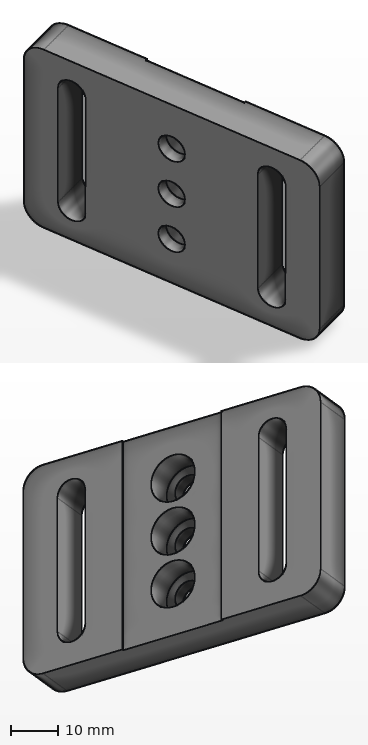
import cadquery as cq

LENGTH = 75.0
THICKNESS = 9.5
HEIGHT = 50.0
CORNER_RADIUS = 5.0

SLOT_WIDTH = 7.0
SLOT_LENGTH = 39.0
SLOT_OFFSET = 25.35

HOLE_DIAMETER = 6.75
HOLE_SPACING = 12.7

COUNTERBORE_DIAMETER = 11.0
FRONT_HOLE_DEPTH = 3.0

CHANNEL_WIDTH = 25.0
CHANNEL_DEPTH = 0.45


def make_plate():
    """Rounded plate centred on the origin."""
    return cq.Workplane("XY").box(LENGTH, THICKNESS, HEIGHT).edges("|Y").fillet(CORNER_RADIUS)


def cut_slots(plate):
    """Cut both slots through the thickness."""
    return (
        plate.faces("<Y").workplane(centerOption="CenterOfBoundBox")
        .pushPoints([(-SLOT_OFFSET, 0), (SLOT_OFFSET, 0)])
        .slot2D(SLOT_LENGTH, SLOT_WIDTH, 90)
        .cutThruAll()
    )


def cut_holes(plate):
    """Drill the column of holes through, counterbored from the back."""
    return (
        plate.faces(">Y").workplane(centerOption="CenterOfBoundBox")
        .pushPoints([(0, -HOLE_SPACING), (0, 0), (0, HOLE_SPACING)])
        .cboreHole(HOLE_DIAMETER, COUNTERBORE_DIAMETER, THICKNESS - FRONT_HOLE_DEPTH)
    )


def cut_channel(plate):
    """Sink the channel into the back face."""
    channel = cq.Workplane("XY").box(CHANNEL_WIDTH, CHANNEL_DEPTH, HEIGHT)
    return plate.cut(channel.translate((0, (THICKNESS - CHANNEL_DEPTH) / 2, 0)))


result = cut_channel(cut_holes(cut_slots(make_plate())))